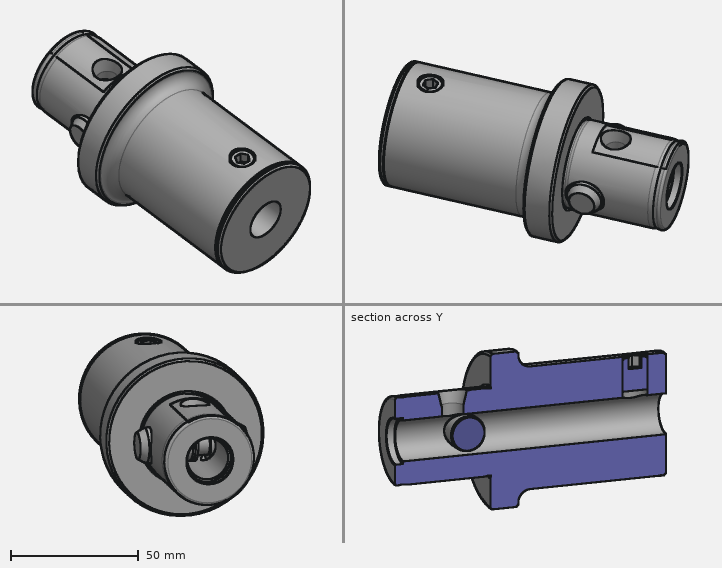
import cadquery as cq
import math

total_length = 114.0
nose_radius = 18.0
nose_round = 1.1
groove_start = 1.3
groove_bottom = 2.8
groove_end = 4.9
groove_depth = 0.3
flange_start = 40.0
flange_end = 52.0
flange_radius = 63.3 / 2
flange_chamfer = 0.9
shank_radius = 25.0
shank_fillet = 5.0
end_chamfer = 0.9

undercut_length = 1.8
undercut_depth = 0.28
undercut_flat = 0.7
undercut_face_depth = 0.3
undercut_height = 0.7

ring_groove_start = 111.6
ring_groove_width = 0.3
ring_groove_depth = 0.1

bore_radius = 8.2
counterbore_radius = 9.2
counterbore_chamfer = 0.2
counterbore_depth = 3.4

recess_width = 16.9
recess_depth = 0.1

pin_x = 31.0
pin_radius = 7.1
pin_tip_radius = 5.2
pin_reach = 21.5
pin_cone_length = 3.1
pin_mouth_radius = 8.1
pin_mouth_depth = 1.4
rear_pin_end = -1.3
rear_pin_groove_start = -0.2
rear_pin_groove_width = 1.0
rear_pin_groove_depth = 0.2
stem_radius = 5.0
front_pin_shoulder = -6.4

tapered_hole_x = 24.3
tapered_hole_mouth_radius = 5.9
tapered_hole_radius = 4.5
tapered_hole_taper_depth = 5.9

screw_x = 100.9
screw_radius = 5.1
screw_top = 24.3
screw_length = 13.7
screw_chamfer = 0.63
hex_across_flats = 5.1
hex_depth = 4.6


def along_y(profile):
    """Revolve (radius, y) points about the axis that the two cross pins share."""
    outline = cq.Workplane("XY").polyline(profile).close()
    return outline.revolve(360, (0, 0, 0), (0, 1, 0)).translate((pin_x, 0, 0))


def along_z(profile, x):
    """Revolve (radius, z) points about a vertical axis at the given x."""
    outline = cq.Workplane("XZ").polyline(profile).close()
    return outline.revolve(360, (0, 0, 0), (0, 1, 0)).translate((x, 0, 0))


def turned_body():
    """Nose, flange and shank, turned as one piece."""
    arc_mid = math.sqrt(0.5)
    undercut_start = flange_start - undercut_length
    undercut_radius = nose_radius - undercut_depth
    fillet_center_x = flange_end + shank_fillet
    fillet_center_r = shank_radius + shank_fillet
    ring_groove_end = ring_groove_start + ring_groove_width
    outline = (
        cq.Workplane("XZ")
        .lineTo(0, nose_radius - nose_round)
        .threePointArc(
            (nose_round * (1 - arc_mid), nose_radius - nose_round * (1 - arc_mid)),
            (nose_round, nose_radius),
        )
        .lineTo(groove_start, nose_radius)
        .lineTo(groove_bottom, nose_radius - groove_depth)
        .lineTo(groove_end, nose_radius)
        .lineTo(undercut_start, nose_radius)
        .lineTo(flange_start - undercut_flat, undercut_radius)
        .lineTo(flange_start + undercut_face_depth, undercut_radius)
        .lineTo(flange_start, nose_radius + undercut_height)
        .lineTo(flange_start, flange_radius - flange_chamfer)
        .lineTo(flange_start + flange_chamfer, flange_radius)
        .lineTo(flange_end - flange_chamfer, flange_radius)
        .lineTo(flange_end, flange_radius - flange_chamfer)
        .lineTo(flange_end, fillet_center_r)
        .threePointArc(
            (fillet_center_x - shank_fillet * arc_mid, fillet_center_r - shank_fillet * arc_mid),
            (fillet_center_x, shank_radius),
        )
        .lineTo(ring_groove_start, shank_radius)
        .lineTo(ring_groove_start, shank_radius - ring_groove_depth)
        .lineTo(ring_groove_end, shank_radius - ring_groove_depth)
        .lineTo(ring_groove_end, shank_radius)
        .lineTo(total_length - end_chamfer, shank_radius)
        .lineTo(total_length, shank_radius - end_chamfer)
        .lineTo(total_length, 0)
        .close()
    )
    return outline.revolve(360, (0, 0, 0), (1, 0, 0))


def axial_bore():
    """Bore along X with a chamfered counterbore at the nose face."""
    bore = cq.Workplane("YZ").circle(bore_radius).extrude(total_length)
    counterbore = cq.Workplane("YZ").circle(counterbore_radius).extrude(counterbore_depth)
    mouth_radius = counterbore_radius + counterbore_chamfer
    mouth = cq.Workplane("YZ").circle(mouth_radius).extrude(counterbore_chamfer, taper=45)
    return bore.union(counterbore).union(mouth)


def nose_recess():
    """Curved shallow recess from the nose face to the pin axis, on the top side."""
    block = cq.Workplane("XY").box(pin_x, recess_width, flange_radius, centered=(False, True, False))
    core = cq.Workplane("YZ").circle(nose_radius - recess_depth).extrude(pin_x)
    return block.cut(core)


def cross_bore():
    """Bore for the two pins, flared at both mouths."""
    flare_start = nose_radius - pin_mouth_depth
    return along_y([
        (0, -pin_reach),
        (pin_mouth_radius, -pin_reach),
        (pin_mouth_radius, -nose_radius),
        (pin_radius, -flare_start),
        (pin_radius, flare_start),
        (pin_mouth_radius, nose_radius),
        (pin_mouth_radius, pin_reach),
        (0, pin_reach),
    ])


def tapered_hole():
    """Hole from the top of the nose into the bore, tapered at first and then straight."""
    return along_z([
        (0, 0),
        (tapered_hole_radius, 0),
        (tapered_hole_radius, nose_radius - tapered_hole_taper_depth),
        (tapered_hole_mouth_radius, nose_radius),
        (0, nose_radius),
    ], tapered_hole_x)


def screw_hole():
    """Straight hole from the top of the shank into the bore."""
    return cq.Workplane("XY").center(screw_x, 0).circle(screw_radius).extrude(shank_radius)


def make_housing():
    housing = turned_body().cut(axial_bore()).cut(nose_recess())
    return housing.cut(cross_bore()).cut(tapered_hole()).cut(screw_hole())


def make_rear_pin():
    """Pin on the +Y side, with a ring groove near its inner end."""
    groove_radius = pin_radius - rear_pin_groove_depth
    groove_far_side = rear_pin_groove_start + rear_pin_groove_width
    return along_y([
        (0, rear_pin_end),
        (pin_radius, rear_pin_end),
        (pin_radius, rear_pin_groove_start),
        (groove_radius, rear_pin_groove_start),
        (groove_radius, groove_far_side),
        (pin_radius, groove_far_side),
        (pin_radius, pin_reach - pin_cone_length),
        (pin_tip_radius, pin_reach),
        (0, pin_reach),
    ])


def make_front_pin():
    """Pin on the -Y side, whose narrower stem meets the rear pin."""
    return along_y([
        (0, rear_pin_end),
        (stem_radius, rear_pin_end),
        (stem_radius, front_pin_shoulder),
        (pin_radius, front_pin_shoulder),
        (pin_radius, pin_cone_length - pin_reach),
        (pin_tip_radius, -pin_reach),
        (0, -pin_reach),
    ])


def make_set_screw():
    """Chamfered set screw with a hexagon socket whose corners point along Y."""
    body = along_z([
        (0, screw_top - screw_length),
        (screw_radius, screw_top - screw_length),
        (screw_radius, screw_top - screw_chamfer),
        (screw_radius - screw_chamfer, screw_top),
        (0, screw_top),
    ], screw_x)
    hex_across_corners = hex_across_flats / math.cos(math.pi / 6)
    socket = (
        cq.Workplane("XY")
        .polygon(6, hex_across_corners)
        .extrude(-hex_depth)
        .rotate((0, 0, 0), (0, 0, 1), 90)
        .translate((screw_x, 0, screw_top))
    )
    return body.cut(socket)


housing = make_housing()
rear_pin = make_rear_pin()
front_pin = make_front_pin()
set_screw = make_set_screw()

result = cq.Compound.makeCompound([housing.val(), rear_pin.val(), front_pin.val(), set_screw.val()])